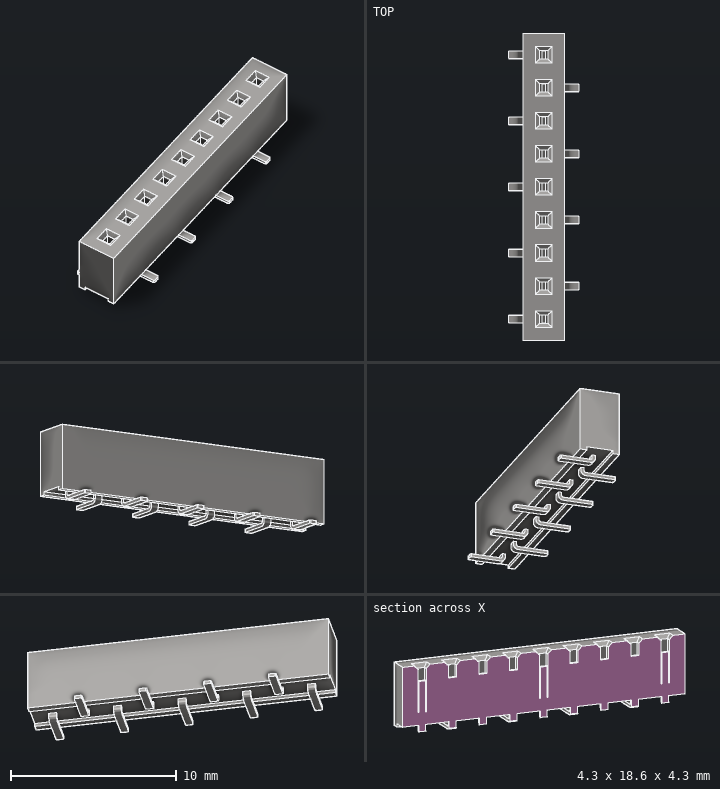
import cadquery as cq

length = 18.6
overall_width = 4.3
overall_height = 4.3
pin_count = 9
end_margin = 1.3
pin_pitch = (length - 2 * end_margin) / (pin_count - 1)

body_width = 2.53
foot_bottom = 0.3
channel_top = 0.5
channel_width = 1.67

mouth_size = 1.0
throat_size = 0.5
funnel_depth = (mouth_size - throat_size) / 2
throat_depth = 2.72

contact_thickness = 0.2
contact_width = 0.48
bend_inner_radius = 0.11
tip_chamfer = 0.05
contact_top = 3.3

bend_outer_radius = bend_inner_radius + contact_thickness
half_contact = contact_thickness / 2
tail_reach = overall_width / 2


def make_housing():
    """Rectangular bar with a full-length channel between the feet."""
    bar = cq.Workplane("XY", origin=(0, 0, foot_bottom)).box(
        body_width, length, overall_height - foot_bottom, centered=(True, True, False)
    )
    channel = cq.Workplane("XY").box(channel_width, length, channel_top, centered=(True, True, False))
    return bar.cut(channel)


def make_socket():
    """Tapered square mouth leading into a square blind throat."""
    funnel = (
        cq.Workplane("XY", origin=(0, 0, overall_height))
        .rect(mouth_size, mouth_size)
        .workplane(offset=-funnel_depth)
        .rect(throat_size, throat_size)
        .loft(ruled=True)
    )
    throat = (
        cq.Workplane("XY", origin=(0, 0, overall_height - funnel_depth))
        .rect(throat_size, throat_size)
        .extrude(-throat_depth)
    )
    return funnel.union(throat)


def make_contact():
    """Upright blade bent into a tail that points to -X."""
    strip = (
        cq.Workplane("XZ")
        .moveTo(-tail_reach, 0)
        .lineTo(half_contact - bend_outer_radius, 0)
        .radiusArc((half_contact, bend_outer_radius), -bend_outer_radius)
        .lineTo(half_contact, contact_top)
        .lineTo(-half_contact, contact_top)
        .lineTo(-half_contact, bend_outer_radius)
        .radiusArc((-half_contact - bend_inner_radius, contact_thickness), bend_inner_radius)
        .lineTo(-tail_reach, contact_thickness)
        .close()
        .extrude(contact_width / 2, both=True)
    )
    return strip.edges("<X and |Z").chamfer(tip_chamfer)


housing = make_housing()
socket = make_socket()
left_contact = make_contact()
right_contact = left_contact.rotate((0, 0, 0), (0, 0, 1), 180)

pin_positions = [(i - (pin_count - 1) / 2) * pin_pitch for i in range(pin_count)]

for y in pin_positions:
    housing = housing.cut(socket.translate((0, y, 0)))

result = housing
for i, y in enumerate(pin_positions):
    contact = left_contact if i % 2 == 0 else right_contact
    result = result.union(contact.translate((0, y, 0)))